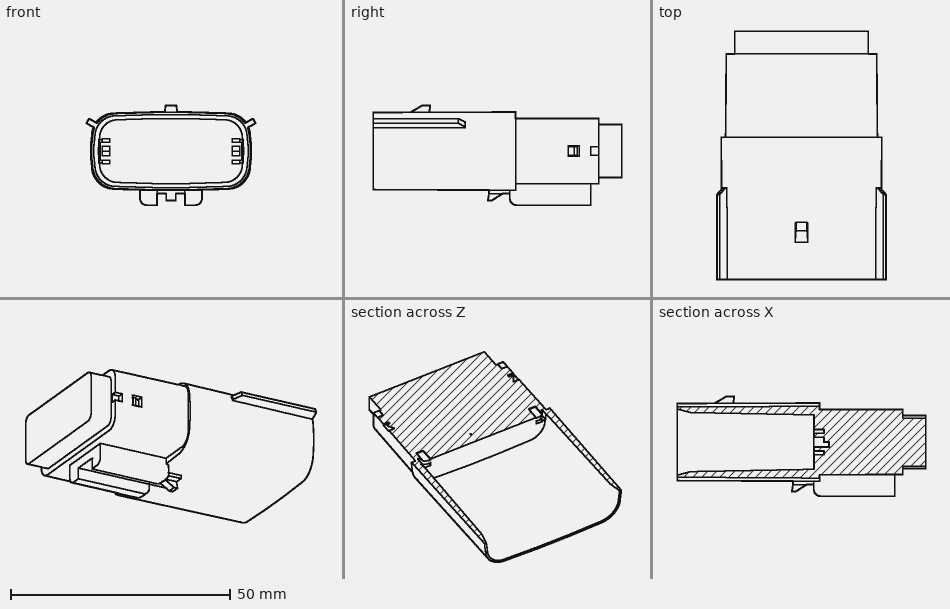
import cadquery as cq
import math

overlap = 0.55

total_length = 56.75
shroud_length = 32.5
body_end = 51.55
cap_seam = 49.7
cavity_depth = 31.2

mouth_half_width = 18.15
mouth_half_height = 8.85
shroud_draft = 0.2
shroud_corner = 5.2
side_bow = 0.3

wall = 0.5
lead_in_depth = 3.05
lead_in_inset = 0.7
floor_half_width = 16.55
floor_half_height = 7.45
floor_corner = 4.1

body_half_width = 17.2
body_half_height = 7.5
body_draft = 0.15
body_corner = 2.85
block_half_width = 15.25
block_half_height = 6.1
block_corner = 1.6

rail_front = 31.15
rail_inner = 3.2
rail_outer = 7.1
rail_bottom = -12.35
rail_radius = 1.6
plate_front = 26.4
plate_bottom = -9.7
tongue_half_width = 1.15
tongue_bottom = -11.3
tongue_ramp_start = 29.6
tongue_ramp_end = 27.05
tongue_overhang = 0.2

bump_top = 10.45
bump_back = 13.05
bump_crest = 11.2
bump_front = 8.05
bump_undercut = 0.3
bump_top_half_width = 1.25
bump_base_half_width = 1.5
bump_sink = 0.3
bump_base = mouth_half_height - bump_sink

overall_width = 38.65
rib_tip_x = overall_width / 2
rib_tip_z = 6.35
rib_angle = 30.0
rib_thickness = 1.25
rib_span = 2.6
rib_length = 21.0
rib_chamfer = 1.6

window_size = 2.45
window_front = 44.55
window_depth = 1.35
barb_half_height = 0.95
barb_crest = 45.85
barb_back = 46.55
barb_recess = 0.55
notch_half_height = 0.95
notch_depth = 1.5

slot_inner = 14.0
slot_outer = 15.7
slot_outer_z = 2.85
arm_outer_z = 2.05
arm_inner_z = 1.1
slot_depth = 2.25
slot_step = 1.15
arm_inner = 14.6
arm_outer = 16.2
recess_outer = 16.45
recess_half_height = 2.6


def section(y):
    """Sketch plane across the part at the given Y station; extrude by a negative length to go towards +Y."""
    return cq.Workplane("XZ", origin=(0, y, 0))


def box(x, y, z):
    """Box from (low, high) pairs along each axis."""
    size = [high - low for low, high in (x, y, z)]
    return cq.Workplane("XY").box(*size, centered=False).translate((x[0], y[0], z[0]))


def both_sides(shape):
    """The shape together with its mirror image across the YZ plane."""
    return shape.union(shape.mirror("YZ"))


def bowed_wire(y, half_width, half_height, corner, bow):
    """Rounded rectangle whose four sides bulge outwards by the bow; half sizes are at the bulge."""
    side_x = half_width - bow
    side_z = half_height - bow
    flat_x = side_x - corner
    flat_z = side_z - corner
    diagonal = corner * math.sqrt(0.5)
    mid_x = flat_x + diagonal
    mid_z = flat_z + diagonal
    return (
        section(y)
        .moveTo(-flat_x, side_z)
        .threePointArc((0, half_height), (flat_x, side_z))
        .threePointArc((mid_x, mid_z), (side_x, flat_z))
        .threePointArc((half_width, 0), (side_x, -flat_z))
        .threePointArc((mid_x, -mid_z), (flat_x, -side_z))
        .threePointArc((0, -half_height), (-flat_x, -side_z))
        .threePointArc((-mid_x, -mid_z), (-side_x, -flat_z))
        .threePointArc((-half_width, 0), (-side_x, flat_z))
        .threePointArc((-mid_x, mid_z), (-flat_x, side_z))
        .close()
        .val()
    )


def rounded_prism(y, length, half_width, half_height, corner):
    """Straight-sided rounded rectangle, extruded towards +Y from the given station."""
    outline = cq.Sketch().rect(2 * half_width, 2 * half_height).vertices().fillet(corner)
    return section(y).placeSketch(outline).extrude(-length)


def rounded_wire(y, half_width, half_height, corner):
    """Outline of a rounded prism at the given station."""
    return rounded_prism(y, overlap, half_width, half_height, corner).faces("<Y").wires().val()


def loft(*wires):
    """Ruled solid through the given outlines."""
    return cq.Workplane(cq.Solid.makeLoft(list(wires), True))


def make_shroud():
    return loft(
        bowed_wire(0, mouth_half_width, mouth_half_height, shroud_corner, side_bow),
        bowed_wire(
            shroud_length,
            mouth_half_width + shroud_draft,
            mouth_half_height + shroud_draft / 2,
            shroud_corner,
            side_bow,
        ),
    )


def make_cavity():
    inset = wall + lead_in_inset
    lead_in_end = bowed_wire(
        lead_in_depth, mouth_half_width - inset, mouth_half_height - inset, floor_corner, side_bow
    )
    lead_in = loft(
        bowed_wire(0, mouth_half_width - wall, mouth_half_height - wall, shroud_corner - wall, side_bow),
        lead_in_end,
    )
    bore = loft(
        lead_in_end,
        bowed_wire(cavity_depth, floor_half_width, floor_half_height, floor_corner, side_bow),
    )
    return lead_in.union(bore)


def make_body():
    return loft(
        rounded_wire(cavity_depth, body_half_width + body_draft, body_half_height, body_corner),
        rounded_wire(body_end, body_half_width, body_half_height, body_corner),
    )


def make_rear_block():
    length = total_length - body_end
    return rounded_prism(body_end, length, block_half_width, block_half_height, block_corner)


def make_rails():
    rail = box((rail_inner, rail_outer), (rail_front, cap_seam), (rail_bottom, 0))
    rail = rail.edges("(|Y and >X and <Z) or (|Z and >X and <Y) or (|X and <Y and <Z)").fillet(rail_radius)
    return both_sides(rail)


def make_latch_plate():
    plate_top = overlap - body_half_height
    plate = box((-rail_inner, rail_inner), (plate_front, cap_seam), (plate_bottom, plate_top))
    tongue = (
        cq.Workplane("YZ")
        .polyline(
            [
                (tongue_ramp_start, plate_bottom),
                (tongue_ramp_end, tongue_bottom),
                (plate_front - tongue_overhang, tongue_bottom),
                (plate_front, plate_bottom),
            ]
        )
        .close()
        .extrude(tongue_half_width, both=True)
    )
    return plate.union(tongue)


def make_bump():
    profile = (
        cq.Workplane("YZ")
        .polyline(
            [
                (bump_back - bump_undercut, bump_base),
                (bump_back, bump_top),
                (bump_crest, bump_top),
                (bump_front, bump_base),
            ]
        )
        .close()
        .extrude(bump_base_half_width, both=True)
    )
    taper = (
        section(0)
        .polyline(
            [
                (-bump_base_half_width, bump_base),
                (bump_base_half_width, bump_base),
                (bump_top_half_width, bump_top),
                (-bump_top_half_width, bump_top),
            ]
        )
        .close()
        .extrude(-shroud_length)
    )
    return profile.intersect(taper)


def make_ribs():
    """Thin rails on the upper corners, bevelled at their inner end."""
    cos_a = math.cos(math.radians(rib_angle))
    sin_a = math.sin(math.radians(rib_angle))
    plane = cq.Plane(origin=(rib_tip_x, 0, rib_tip_z), xDir=(cos_a, 0, sin_a), normal=(-sin_a, 0, cos_a))
    rib = (
        cq.Workplane(plane)
        .polyline(
            [
                (-rib_span, 0),
                (0, 0),
                (0, rib_length - rib_chamfer),
                (-rib_chamfer, rib_length),
                (-rib_span, rib_length),
            ]
        )
        .close()
        .extrude(rib_thickness)
    )
    return both_sides(rib)


def make_windows():
    """Square side pockets, each keeping a ramped barb inside."""
    half = window_size / 2
    bottom_x = body_half_width - window_depth
    crest_x = body_half_width - barb_recess
    pocket = box(
        (bottom_x, body_half_width + overlap),
        (window_front, window_front + window_size),
        (-half, half),
    )
    barb = (
        cq.Workplane("XY")
        .polyline(
            [
                (bottom_x, window_front),
                (crest_x, barb_crest),
                (crest_x, barb_back),
                (bottom_x, barb_back),
            ]
        )
        .close()
        .extrude(barb_half_height, both=True)
    )
    return both_sides(pocket.cut(barb))


def make_notches():
    notch = box(
        (body_half_width - notch_depth, body_half_width + overlap),
        (cap_seam, body_end),
        (-notch_half_height, notch_half_height),
    )
    return both_sides(notch)


def make_arm_slots():
    """Slots around two retainer arms in each end of the cavity floor; the arm tips are rounded outwards."""
    floor = cavity_depth
    slot_x = (slot_inner, slot_outer)
    slot_y = (floor, floor + slot_depth)
    pocket = box(slot_x, slot_y, (-arm_inner_z, arm_inner_z))
    pocket = pocket.union(box(slot_x, (floor, floor + slot_depth + slot_step), (-arm_inner_z, 0)))
    pocket = pocket.union(box(slot_x, slot_y, (arm_outer_z, slot_outer_z)))
    pocket = pocket.union(box(slot_x, slot_y, (-slot_outer_z, -arm_outer_z)))

    tip_radius = arm_outer - arm_inner
    recess = box(
        (arm_inner, recess_outer),
        (floor, floor + tip_radius),
        (-recess_half_height, recess_half_height),
    )
    tips = (
        cq.Workplane("XY", origin=(arm_inner, floor + tip_radius, 0))
        .circle(tip_radius)
        .extrude(arm_outer_z, both=True)
    )
    return both_sides(pocket.union(recess.cut(tips)))


result = (
    make_shroud()
    .union(make_body())
    .union(make_rear_block())
    .union(make_rails())
    .union(make_latch_plate())
    .union(make_bump())
    .union(make_ribs())
    .cut(make_cavity())
    .cut(make_windows())
    .cut(make_notches())
    .cut(make_arm_slots())
)